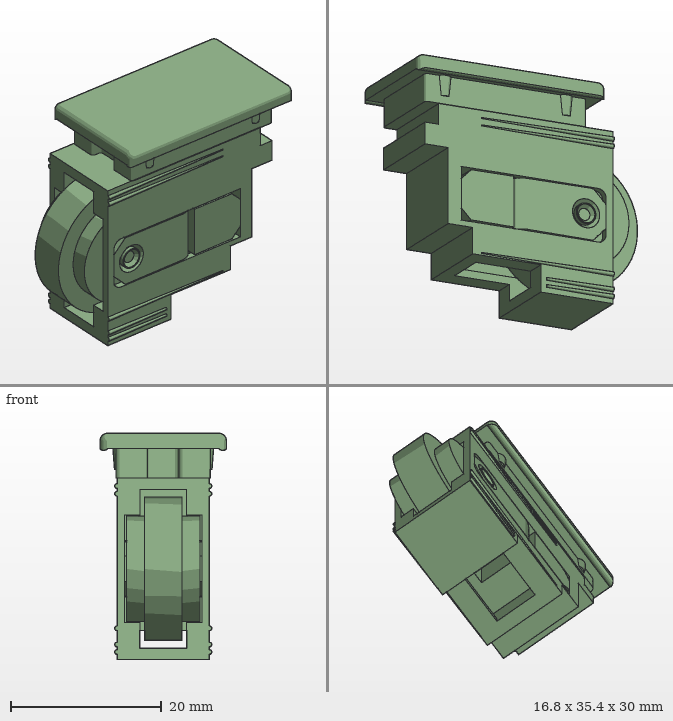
import cadquery as cq
import math


wheel_diameter = 19.0
wheel_width = 4.95
axle_diameter = 2.9
dimple_mouth_diameter = 2.6
dimple_floor_diameter = 1.65
dimple_depth = 0.53

housing_width = 12.25
housing_front = -4.05
housing_top = 12.03
housing_bottom = -12.03
body_back = 20.5
end_wall = 1.98
upper_back = 21.9
tongue_back = 23.9
tongue_top = 9.13
tongue_bottom = 6.1
middle_step_z = -4.53
middle_back = 16.85
lower_step_z = -8.2
lower_back = 6.72

window_front = -2.97
window_back = body_back - end_wall
window_height = 7.5
window_corner_radius = 1.25
cheek_opening_width = 10.25
cheek_opening_height = 14.3
wheel_opening_width = 6.23
wheel_opening_height = 21.0
opening_back = middle_back - end_wall

ridge_front_radius = 0.32
ridge_back_radius = 0.07
ridge_back = 15.53
short_ridge_back = 5.87
long_ridge_heights = [10.97, 9.95, -7.9]
short_ridge_heights = [-10.05, -11.05]

cap_width = 16.77
overall_length = 35.38
cap_back = overall_length - wheel_diameter / 2
cap_length = 27.77
cap_top = 17.97
cap_thickness = 2.05
cap_radius = 1.0
lip_width = 1.0
lip_height = 0.25
cap_bottom = cap_top - cap_thickness
cap_middle = cap_back - cap_length / 2

neck_width = 12.52
neck_front = -0.05
neck_back = tongue_back
neck_radius = 0.5
notch_width = 4.17
notch_depth = 1.5

rib_top_radius = 1.1
rib_bottom_radius = 0.9
rib_height = 2.75
rib_inset = 0.67
rib_places = [21.0, 3.0]

carriage_front_height = 7.2
carriage_back_height = 7.0
front_chamfer = 1.9
back_chamfer = 1.4
cheek_diameter = 14.0
cheek_span = 9.73
wheel_slot_back = wheel_opening_height / 2
groove_front = 8.65
groove_radius = 2.1
countersink_diameter = 4.05
countersink_depth = 0.7


def box_between(x0, x1, y0, y1, z0, z1):
    return cq.Workplane("XY").box(x1 - x0, y1 - y0, z1 - z0, centered=False).translate((x0, y0, z0))


def centred_tunnel(width, height, front, back):
    """Rectangular block running along Y, centred on the wheel."""
    return box_between(-width / 2, width / 2, front, back, -height / 2, height / 2)


def cylinder_along_x(diameter, width):
    return cq.Workplane("YZ", origin=(-width / 2, 0, 0)).circle(diameter / 2).extrude(width)


def make_housing_block():
    outline = [
        (housing_front, housing_bottom),
        (housing_front, housing_top),
        (upper_back, housing_top),
        (upper_back, tongue_top),
        (tongue_back, tongue_top),
        (tongue_back, tongue_bottom),
        (body_back, tongue_bottom),
        (body_back, middle_step_z),
        (middle_back, middle_step_z),
        (middle_back, lower_step_z),
        (lower_back, lower_step_z),
        (lower_back, housing_bottom),
    ]
    block = cq.Workplane("YZ").polyline(outline).close().extrude(housing_width / 2, both=True)
    cheek_opening = centred_tunnel(cheek_opening_width, cheek_opening_height, housing_front, opening_back)
    wheel_opening = centred_tunnel(wheel_opening_width, wheel_opening_height, housing_front, opening_back)
    window = centred_tunnel(housing_width, window_height, window_front, window_back)
    window = window.edges("|X and <Y").fillet(window_corner_radius)
    return block.cut(cheek_opening).cut(wheel_opening).cut(window)


def make_ridge(side, height, back):
    """Half-buried cone on a housing side, thinning towards the back."""
    taper = (ridge_front_radius - ridge_back_radius) / (ridge_back - housing_front)
    length = back - housing_front
    end_radius = ridge_front_radius - taper * length
    start = cq.Vector(side * housing_width / 2, housing_front, height)
    return cq.Workplane(cq.Solid.makeCone(ridge_front_radius, end_radius, length, start, cq.Vector(0, 1, 0)))


def make_cap():
    middle = (0, cap_middle)
    plate = cq.Workplane("XY", origin=(0, 0, cap_bottom)).center(*middle)
    plate = plate.rect(cap_width, cap_length).extrude(cap_thickness)
    plate = plate.edges("|Z").fillet(cap_radius).faces(">Z").edges().fillet(cap_radius)
    lip_limit = cq.Workplane("XY", origin=(0, 0, cap_bottom - lip_height)).center(*middle)
    lip_limit = lip_limit.rect(cap_width, cap_length).extrude(lip_height).edges("|Z").fillet(cap_radius)
    for side in (-1, 1):
        outer = side * cap_width / 2
        inner = outer - side * lip_width
        lip = (
            cq.Workplane("XZ", origin=(0, cap_back, 0))
            .moveTo(outer, cap_bottom)
            .threePointArc(((outer + inner) / 2, cap_bottom - lip_height), (inner, cap_bottom))
            .close()
            .extrude(cap_length)
        )
        plate = plate.union(lip.intersect(lip_limit))
    return plate


def make_neck():
    """Rounded block with a soft-edged notch in its front and conical ribs on its sides."""
    half = neck_width / 2
    notch_half = notch_width / 2
    outline = [
        (-half, neck_front),
        (-notch_half, neck_front),
        (-notch_half, neck_front + notch_depth),
        (notch_half, neck_front + notch_depth),
        (notch_half, neck_front),
        (half, neck_front),
        (half, neck_back),
        (-half, neck_back),
    ]
    neck = cq.Workplane("XY", origin=(0, 0, housing_top)).polyline(outline).close()
    neck = neck.extrude(cap_bottom - housing_top).edges("|Z").fillet(neck_radius)
    for side in (-1, 1):
        for place in rib_places:
            start = cq.Vector(side * (half - rib_inset), place, cap_bottom)
            rib = cq.Solid.makeCone(rib_top_radius, rib_bottom_radius, rib_height, start, cq.Vector(0, 0, -1))
            neck = neck.union(cq.Workplane(rib))
    return neck


def make_housing():
    housing = make_housing_block().union(make_neck()).union(make_cap())
    for side in (-1, 1):
        for height in long_ridge_heights:
            housing = housing.union(make_ridge(side, height, ridge_back))
        for height in short_ridge_heights:
            housing = housing.union(make_ridge(side, height, short_ridge_back))
    return housing


def make_carriage():
    front_half = carriage_front_height / 2
    back_half = carriage_back_height / 2
    outline = [
        (window_front, -front_half + front_chamfer),
        (window_front, front_half - front_chamfer),
        (window_front + front_chamfer, front_half),
        (window_back - back_chamfer, back_half),
        (window_back, back_half - back_chamfer),
        (window_back, -back_half + back_chamfer),
        (window_back - back_chamfer, -back_half),
        (window_front + front_chamfer, -front_half),
    ]
    slider = cq.Workplane("YZ").polyline(outline).close().extrude(housing_width / 2, both=True)
    carriage = slider.union(cylinder_along_x(cheek_diameter, cheek_span))

    wheel_slot = centred_tunnel(wheel_width, cheek_diameter, -cheek_diameter / 2, wheel_slot_back)
    carriage = carriage.cut(wheel_slot)

    carriage = carriage.cut(cylinder_along_x(axle_diameter, housing_width))
    for side in (-1, 1):
        face = side * housing_width / 2
        start = cq.Vector(face, 0, 0)
        countersink = cq.Solid.makeCone(
            countersink_diameter / 2, axle_diameter / 2, countersink_depth, start, cq.Vector(-side, 0, 0)
        )
        carriage = carriage.cut(cq.Workplane(countersink))

        root = face - side * groove_radius
        bend = groove_radius * math.sin(math.pi / 4)
        groove = (
            cq.Workplane("XY", origin=(0, 0, -cheek_diameter / 2))
            .moveTo(face, groove_front)
            .threePointArc((root + side * bend, groove_front + bend), (root, groove_front + groove_radius))
            .lineTo(face, groove_front + groove_radius)
            .close()
            .extrude(cheek_diameter)
        )
        carriage = carriage.cut(groove)
    return carriage


def make_wheel():
    """Wheel and axle in one piece, the axle ends dimpled and flush with the housing sides."""
    wheel = cylinder_along_x(wheel_diameter, wheel_width).union(cylinder_along_x(axle_diameter, housing_width))
    for side in (-1, 1):
        start = cq.Vector(side * housing_width / 2, 0, 0)
        dimple = cq.Solid.makeCone(
            dimple_mouth_diameter / 2, dimple_floor_diameter / 2, dimple_depth, start, cq.Vector(-side, 0, 0)
        )
        wheel = wheel.cut(cq.Workplane(dimple))
    return wheel


housing = make_housing()
carriage = make_carriage()
wheel = make_wheel()

result = cq.Compound.makeCompound([housing.val(), carriage.val(), wheel.val()])